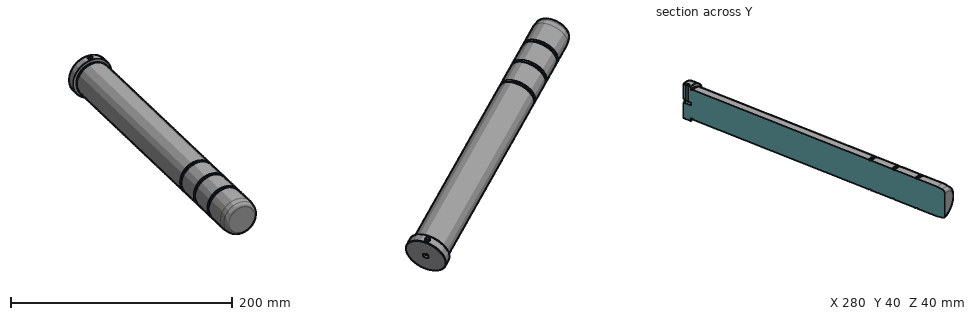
import cadquery as cq

length = 280.0
head_diameter = 40.0
head_thickness = 8.0
head_chamfer = 0.42
shaft_diameter = 35.0

neck_diameter = 33.3
neck_width = 1.7

groove_count = 3
groove_spacing = 25.0
first_groove_x = 200.0
groove_width = 2.8
groove_depth = 0.8

nose_length = 8.5
nose_radius = 3.5
nose_diameter = 33.3

face_hole_diameter = 2.5
face_hole_depth = 8.0
face_countersink_diameter = 6.0
rim_hole_x = head_thickness / 2
rim_hole_diameter = 2.5
rim_hole_depth = head_diameter / 2
rim_countersink_diameter = 5.0

head_radius = head_diameter / 2
shaft_radius = shaft_diameter / 2


def make_pin():
    """Revolve the half outline of head, neck, shaft and nose about X."""
    neck_end = head_thickness + neck_width
    nose_end_radius = nose_diameter / 2
    arc_mid = nose_radius * 0.5**0.5
    arc_center_x = length - nose_radius
    arc_center_y = nose_end_radius - nose_radius
    outline = (
        cq.Workplane("XY")
        .lineTo(0, head_radius - head_chamfer)
        .lineTo(head_chamfer, head_radius)
        .lineTo(head_thickness, head_radius)
        .lineTo(head_thickness, neck_diameter / 2)
        .lineTo(neck_end, neck_diameter / 2)
        .lineTo(neck_end, shaft_radius)
        .lineTo(length - nose_length, shaft_radius)
        .lineTo(arc_center_x, nose_end_radius)
        .threePointArc(
            (arc_center_x + arc_mid, arc_center_y + arc_mid),
            (length, arc_center_y),
        )
        .lineTo(length, 0)
        .close()
    )
    return outline.revolve(360, (0, 0, 0), (1, 0, 0))


def make_groove(center_x):
    """Ring of material removed by one groove."""
    half_width = groove_width / 2
    return (
        cq.Workplane("XY")
        .moveTo(center_x - half_width, shaft_radius)
        .lineTo(center_x, shaft_radius - groove_depth)
        .lineTo(center_x + half_width, shaft_radius)
        .lineTo(center_x + half_width, head_radius)
        .lineTo(center_x - half_width, head_radius)
        .close()
        .revolve(360, (0, 0, 0), (1, 0, 0))
    )


def countersunk_hole(plane, diameter, depth, countersink_diameter):
    """Cutter for a blind countersunk hole entering against the plane normal."""
    radius = diameter / 2
    countersink_radius = countersink_diameter / 2
    cone_depth = countersink_radius - radius
    profile = [
        (0, 0),
        (countersink_radius, 0),
        (radius, -cone_depth),
        (radius, -depth),
        (0, -depth),
    ]
    cutter = cq.Workplane("XZ").polyline(profile).close().revolve(360, (0, 0, 0), (0, 1, 0))
    return cutter.val().located(cq.Location(plane))


result = make_pin()

for index in range(groove_count):
    result = result.cut(make_groove(first_groove_x + index * groove_spacing))

face_plane = cq.Plane(origin=(0, 0, 0), xDir=(0, 1, 0), normal=(-1, 0, 0))
result = result.cut(
    countersunk_hole(face_plane, face_hole_diameter, face_hole_depth, face_countersink_diameter)
)

rim_plane = cq.Plane(origin=(rim_hole_x, 0, head_radius))
result = result.cut(
    countersunk_hole(rim_plane, rim_hole_diameter, rim_hole_depth, rim_countersink_diameter)
)